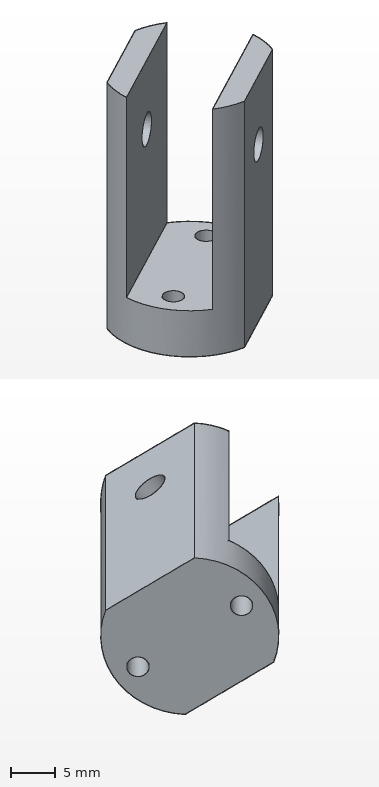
import cadquery as cq

bar_diameter = 20.0
width_across_flats = 16.0
height = 32.0

slot_width = 10.0
base_thickness = 6.0

pin_hole_diameter = 4.0
pin_hole_height = 23.0

mount_hole_diameter = 2.5
mount_hole_spacing = 14.0


def flatted_bar():
    """Round bar along Z, cut by flats on its -X and +X sides."""
    bar = cq.Workplane("XY").circle(bar_diameter / 2).extrude(height)
    flats_envelope = cq.Workplane("XY").box(
        width_across_flats, bar_diameter, height, centered=(True, True, False)
    )
    return bar.intersect(flats_envelope)


def fork_slot():
    """Volume between the two cheeks, above the base."""
    return (
        cq.Workplane("XY")
        .workplane(offset=base_thickness)
        .rect(slot_width, bar_diameter)
        .extrude(height - base_thickness)
    )


def pin_hole():
    """Cylinder along X that passes through both cheeks."""
    return (
        cq.Workplane("YZ")
        .center(0, pin_hole_height)
        .circle(pin_hole_diameter / 2)
        .extrude(width_across_flats / 2, both=True)
    )


def mount_holes():
    """Pair of cylinders along Z that pass through the base."""
    return (
        cq.Workplane("XY")
        .rarray(1, mount_hole_spacing, 1, 2)
        .circle(mount_hole_diameter / 2)
        .extrude(base_thickness)
    )


result = flatted_bar().cut(fork_slot()).cut(pin_hole()).cut(mount_holes())